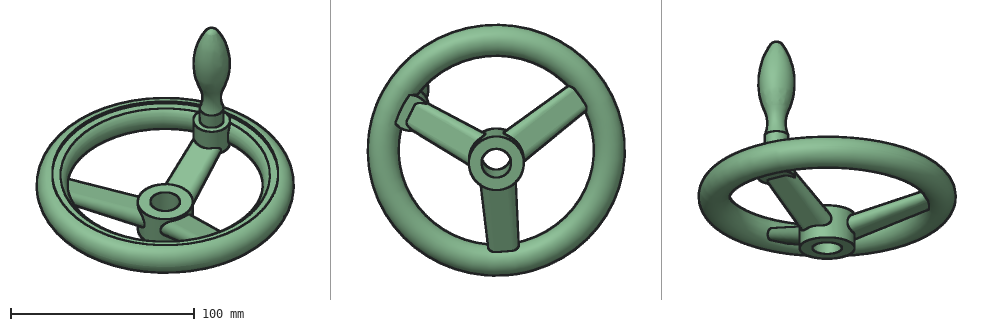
import cadquery as cq
import math

HUB_RADIUS = 15.0
HUB_HEIGHT = 19.0
BORE_RADIUS = 8.0

RIM_OUTER_RADIUS = 70.0
RIM_SECTION_RADIUS = 8.5
RIM_BOTTOM = 22.0
RIM_CENTRE_RADIUS = RIM_OUTER_RADIUS - RIM_SECTION_RADIUS
RIM_MID_HEIGHT = RIM_BOTTOM + RIM_SECTION_RADIUS
RIM_TOP = RIM_MID_HEIGHT + RIM_SECTION_RADIUS
STEP_DEPTH = 1.3

SPOKE_COUNT = 3
SPOKE_FIRST_ANGLE = 90.0
SPOKE_FLAT_WIDTH = 10.0
SPOKE_INNER_THICKNESS = 10.3
SPOKE_OUTER_THICKNESS = 6.3
SPOKE_AXIS_HEIGHT = 6.8

HANDLE_DISTANCE = 52.0
BOSS_RADIUS = 10.0
BOSS_BOTTOM = 23.0
BOSS_TOP = RIM_TOP

HANDLE_TOP = 103.0
SHANK_RADIUS = 6.5
NECK_RADIUS = 5.1
NECK_HEIGHT = 55.0
GRIP_RADIUS = 10.0
GRIP_HEIGHT = 79.0
GRIP_ARC_RADIUS = 41.0
TIP_RADIUS = 3.3
TIP_RISE = 1.6


def make_hub():
    return cq.Workplane("XY").circle(HUB_RADIUS).extrude(HUB_HEIGHT)


def make_rim():
    section = cq.Workplane("XZ").center(RIM_CENTRE_RADIUS, RIM_MID_HEIGHT).circle(RIM_SECTION_RADIUS)
    ring = section.revolve(360, (-RIM_CENTRE_RADIUS, 0), (-RIM_CENTRE_RADIUS, 1))
    step = (
        cq.Workplane("XY", origin=(0, 0, RIM_TOP - STEP_DEPTH))
        .circle(RIM_CENTRE_RADIUS)
        .extrude(STEP_DEPTH)
    )
    return ring.cut(step)


def make_spoke():
    """One spoke along +X, rising from the wheel axis to the centre of the rim section."""
    rise = RIM_MID_HEIGHT - SPOKE_AXIS_HEIGHT
    length = math.hypot(RIM_CENTRE_RADIUS, rise)
    inner_end = cq.Plane(origin=(0, 0, SPOKE_AXIS_HEIGHT), xDir=(0, 1, 0), normal=(RIM_CENTRE_RADIUS, 0, rise))
    return (
        cq.Workplane(inner_end)
        .slot2D(SPOKE_FLAT_WIDTH + SPOKE_INNER_THICKNESS, SPOKE_INNER_THICKNESS)
        .workplane(offset=length)
        .slot2D(SPOKE_FLAT_WIDTH + SPOKE_OUTER_THICKNESS, SPOKE_OUTER_THICKNESS)
        .loft(combine=True)
    )


def make_boss():
    return (
        cq.Workplane("XY", origin=(0, HANDLE_DISTANCE, BOSS_BOTTOM))
        .circle(BOSS_RADIUS)
        .extrude(BOSS_TOP - BOSS_BOTTOM)
    )


def make_handle():
    grip_centre = GRIP_RADIUS - GRIP_ARC_RADIUS
    neck_offset = NECK_RADIUS - grip_centre
    spacing = GRIP_HEIGHT - NECK_HEIGHT
    neck_arc_radius = (neck_offset**2 + spacing**2 - GRIP_ARC_RADIUS**2) / (2 * (GRIP_ARC_RADIUS - neck_offset))
    neck_centre = NECK_RADIUS + neck_arc_radius

    shank_top = NECK_HEIGHT - math.sqrt(neck_arc_radius**2 - (neck_centre - SHANK_RADIUS) ** 2)
    joint_share = neck_arc_radius / (neck_arc_radius + GRIP_ARC_RADIUS)
    joint_radius = neck_centre + joint_share * (grip_centre - neck_centre)
    joint_height = NECK_HEIGHT + joint_share * spacing
    tip_base = HANDLE_TOP - TIP_RISE
    tip_arc_radius = (TIP_RADIUS**2 + TIP_RISE**2) / (2 * TIP_RISE)
    tip_mid_angle = math.asin(TIP_RADIUS / tip_arc_radius) / 2
    tip_mid = (
        tip_arc_radius * math.sin(tip_mid_angle),
        HANDLE_TOP - tip_arc_radius * (1 - math.cos(tip_mid_angle)),
    )

    profile = (
        cq.Workplane("XZ")
        .moveTo(0, BOSS_BOTTOM)
        .lineTo(SHANK_RADIUS, BOSS_BOTTOM)
        .lineTo(SHANK_RADIUS, shank_top)
        .threePointArc((NECK_RADIUS, NECK_HEIGHT), (joint_radius, joint_height))
        .threePointArc((GRIP_RADIUS, GRIP_HEIGHT), (TIP_RADIUS, tip_base))
        .threePointArc(tip_mid, (0, HANDLE_TOP))
        .close()
    )
    return profile.revolve(360, (0, 0), (0, 1)).translate((0, HANDLE_DISTANCE, 0))


def make_handwheel():
    wheel = make_hub().union(make_rim())
    spoke = make_spoke()
    for index in range(SPOKE_COUNT):
        angle = SPOKE_FIRST_ANGLE + index * 360.0 / SPOKE_COUNT
        wheel = wheel.union(spoke.rotate((0, 0, 0), (0, 0, 1), angle))
    wheel = wheel.union(make_boss()).union(make_handle())
    bore = cq.Workplane("XY").circle(BORE_RADIUS).extrude(RIM_TOP)
    return wheel.cut(bore)


result = make_handwheel()